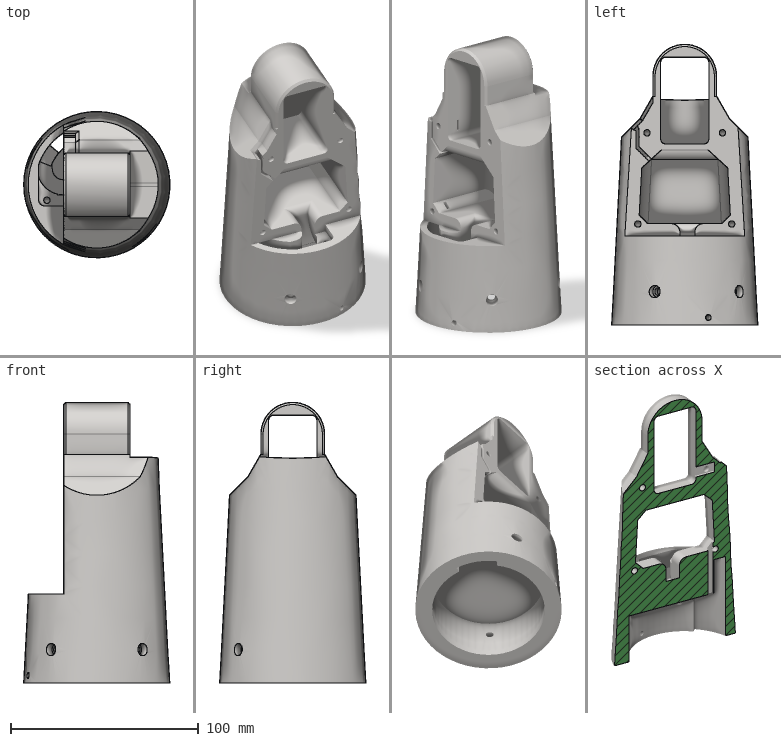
import cadquery as cq
import math

BASE_RADIUS = 39.0
WALL_ANGLE = 3.0
SEAM_ANGLE = 180.0
TOTAL_HEIGHT = 149.55
STEP_HEIGHT = 47.5
FACE_X = -17.75

TONGUE_HALF_WIDTH = 17.0
TONGUE_BACK_X = -FACE_X
TONGUE_CENTER_Z = TOTAL_HEIGHT - TONGUE_HALF_WIDTH
TONGUE_CHAMFER = 1.2
SHOULDER_Y = 23.9
SHOULDER_Z = 109.9
STEEP_ANGLE = 60.0
SHALLOW_ANGLE = 45.0
LEDGE_HEIGHT = 120.4
LEDGE_DIP = 0.55
LEDGE_STRIP_HALF_WIDTH = 0.9

WINDOW_HALF_WIDTH = 12.8
WINDOW_BOTTOM = 96.5
WINDOW_TOP = 142.6
WINDOW_RADIUS = 2.5

CAVITY_BOTTOM = 54.0
CAVITY_TOP = 93.2
CAVITY_BACK_X = 24.0
CAVITY_ROUND = 5.0
CAVITY_HALF_OUTLINE = [
    (19.7, CAVITY_BOTTOM),
    (24.3, 58.6),
    (22.9, 83.7),
    (12.5, CAVITY_TOP),
]

BORE_RADIUS = 30.0
TRAY_RADIUS = 32.8
BORE_TOP = 27.5
CHANNEL_FLOOR = 37.5
CHANNEL_LEFT_Y = 2.6
CHANNEL_RIGHT_Y = -5.4
CHANNEL_BACK_X = -7.9
CHANNEL_ROUND = 4.5
CHANNEL_SWEEP_RADIUS = CAVITY_BOTTOM - CHANNEL_ROUND - CHANNEL_FLOOR
BEND_INNER_RADIUS = 6.0
BEND_CENTER_X = FACE_X
BEND_CENTER_Y = CHANNEL_LEFT_Y + BEND_INNER_RADIUS
BEND_OUTER_RADIUS = BEND_CENTER_Y - CHANNEL_RIGHT_Y
RECESS_FLOOR = 43.0
RECESS_FRONT_X = -31.1
RECESS_RIGHT_Y = -11.4
RECESS_RADIUS = 3.5
SLOT_INNER_RADIUS = 26.4
SLOT_START_ANGLE = 158.0
RAMP_END_ANGLE = 140.0
SLOT_END_ANGLE = 100.0

GROOVE_WIDTH = 1.75
GROOVE_BACK_X = -11.3
GROOVE_FLARE = 1.9
GROOVE_END_Y = 25.1
GROOVE_DROP_Y = 26.1
GROOVE_BEND_Z = 94.3
GROOVE_LENGTH_LOW = 10.5
SLIT_X_RANGE = (-11.2, -9.2)
WINDOW_SLIT_Z_RANGE = (100.2, 106.0)
CAVITY_SLIT_Y_RANGE = (20.5, 23.5)

SCREW_DIAMETER = 3.4
SCREW_DEPTH = 10.0
DRILL_POINT_ANGLE = 118.0
FACE_SCREWS = [(20.1, 102.4), (25.0, 53.8)]
RECESS_SCREW_XY = (-26.6, -8.3)
RECESS_SCREW_DEPTH = 8.0
SIDE_SCREW_ANGLES = [155.0, 230.0, 310.0]
SIDE_SCREW_Z = 17.8
SIDE_SCREW_DIAMETER = 4.2
SIDE_HEAD_DIAMETER = 6.4
SIDE_HEAD_DEPTH = 4.8
PIN_ANGLE = 199.0
PIN_Z = 4.0
PIN_DIAMETER = 3.0

CLEARANCE = 1.0


def steep_y(z):
    """Y of the steep shoulder slope at height z."""
    return SHOULDER_Y - (z - SHOULDER_Z) / math.tan(math.radians(STEEP_ANGLE))


def steep_z(y):
    """Height of the steep shoulder slope at y."""
    return SHOULDER_Z + (SHOULDER_Y - y) * math.tan(math.radians(STEEP_ANGLE))


def box(x_range, y_range, z_range):
    size = [b - a for a, b in (x_range, y_range, z_range)]
    return cq.Workplane("XY").box(*size, centered=False).translate((x_range[0], y_range[0], z_range[0]))


def disc(radius, x, y, z_low, z_high):
    return cq.Workplane("XY", origin=(x, y, z_low)).circle(radius).extrude(z_high - z_low)


def yz_prism(points, x_start, x_end):
    return cq.Workplane("YZ", origin=(x_start, 0, 0)).polyline(points).close().extrude(x_end - x_start)


def mirrored(half_points):
    """Close a one-sided (y, z) outline, listed bottom to top, about y = 0."""
    return half_points + [(-y, z) for y, z in reversed(half_points)]


def make_shell():
    """Cone trimmed to the step, the sloping shoulders and the rear ledge."""
    top_radius = BASE_RADIUS - TOTAL_HEIGHT * math.tan(math.radians(WALL_ANGLE))
    cone = cq.Workplane(cq.Solid.makeCone(BASE_RADIUS, top_radius, TOTAL_HEIGHT))
    cone = cone.rotate((0, 0, 0), (0, 0, 1), SEAM_ANGLE)
    base = cone.intersect(disc(BASE_RADIUS, 0, 0, 0, STEP_HEIGHT))

    ledge_low = LEDGE_HEIGHT - LEDGE_DIP
    upper_outline = mirrored([
        (BASE_RADIUS, STEP_HEIGHT - CLEARANCE),
        (BASE_RADIUS, SHOULDER_Z - (BASE_RADIUS - SHOULDER_Y) * math.tan(math.radians(SHALLOW_ANGLE))),
        (SHOULDER_Y, SHOULDER_Z),
        (steep_y(LEDGE_HEIGHT), LEDGE_HEIGHT),
        (LEDGE_STRIP_HALF_WIDTH, ledge_low),
    ])
    upper = cone.intersect(yz_prism(upper_outline, FACE_X, BASE_RADIUS))
    return base.union(upper)


def make_tongue():
    """Round-topped tongue with bevelled ends, standing on its sloping foot."""
    length = TONGUE_BACK_X - FACE_X
    foot_z = steep_z(TONGUE_HALF_WIDTH)
    tongue = (
        cq.Workplane("YZ", origin=(FACE_X, 0, 0))
        .moveTo(-TONGUE_HALF_WIDTH, foot_z)
        .lineTo(-TONGUE_HALF_WIDTH, TONGUE_CENTER_Z)
        .threePointArc((0, TOTAL_HEIGHT), (TONGUE_HALF_WIDTH, TONGUE_CENTER_Z))
        .lineTo(TONGUE_HALF_WIDTH, foot_z)
        .close()
        .extrude(length)
    )
    for end in ("<X", ">X"):
        tongue = tongue.faces(end).edges("not(<Z)").chamfer(TONGUE_CHAMFER)
    foot_outline = mirrored([
        (SHOULDER_Y, SHOULDER_Z),
        (TONGUE_HALF_WIDTH, foot_z),
    ])
    return tongue.union(yz_prism(foot_outline, FACE_X, TONGUE_BACK_X))


def window_cut():
    height = WINDOW_TOP - WINDOW_BOTTOM
    return (
        cq.Workplane("YZ", origin=(FACE_X, 0, (WINDOW_TOP + WINDOW_BOTTOM) / 2))
        .sketch()
        .rect(2 * WINDOW_HALF_WIDTH, height)
        .vertices()
        .fillet(WINDOW_RADIUS)
        .finalize()
        .extrude(TONGUE_BACK_X - FACE_X)
    )


def cavity_cut():
    """Cavity with a rounded front lip to its roof and rounded rear side corners."""
    _, (low_y, low_z), (high_y, high_z), _ = CAVITY_HALF_OUTLINE
    side_lean = (low_y - high_y) / (high_z - low_z)
    roof_z = CAVITY_TOP - CAVITY_ROUND
    bottom_y = low_y + side_lean * (low_z - CAVITY_BOTTOM)
    roof_y = high_y - side_lean * (roof_z - high_z)
    room = yz_prism(mirrored([(bottom_y, CAVITY_BOTTOM), (roof_y, roof_z)]), FACE_X, CAVITY_BACK_X)
    room = room.faces(">X").edges("not |Y").fillet(CAVITY_ROUND)

    lip = box((FACE_X, FACE_X + CAVITY_ROUND), (-bottom_y, bottom_y), (roof_z, CAVITY_TOP))
    lip_round = (
        cq.Workplane("XZ", origin=(FACE_X + CAVITY_ROUND, bottom_y, CAVITY_TOP))
        .circle(CAVITY_ROUND)
        .extrude(2 * bottom_y)
    )
    outline = yz_prism(mirrored(CAVITY_HALF_OUTLINE), FACE_X, CAVITY_BACK_X)
    return room.union(lip.cut(lip_round)).intersect(outline)


def channel_mouth_cut():
    """Opening from the cavity floor to the wire channel, with rounded lips and a swept floor."""
    x_range = (CHANNEL_BACK_X - CHANNEL_SWEEP_RADIUS - CLEARANCE, CHANNEL_BACK_X)
    y_range = (CHANNEL_RIGHT_Y, CHANNEL_LEFT_Y)
    shaft = box(x_range, y_range, (CHANNEL_FLOOR, CAVITY_BOTTOM))
    shaft = shaft.edges(">X and <Z").fillet(CHANNEL_SWEEP_RADIUS)

    lip_bottom = CAVITY_BOTTOM - CHANNEL_ROUND
    outer_left = CHANNEL_LEFT_Y + CHANNEL_ROUND
    outer_right = CHANNEL_RIGHT_Y - CHANNEL_ROUND
    outer_back = CHANNEL_BACK_X + CHANNEL_ROUND
    lip = box(
        (FACE_X - CLEARANCE, outer_back),
        (outer_right, outer_left),
        (lip_bottom, CAVITY_BOTTOM),
    )
    for y in (outer_left, outer_right):
        side_round = (
            cq.Workplane("YZ", origin=(FACE_X - CLEARANCE, y, lip_bottom))
            .circle(CHANNEL_ROUND)
            .extrude(outer_back - FACE_X + CLEARANCE)
        )
        lip = lip.cut(side_round)
    back_round = (
        cq.Workplane("XZ", origin=(outer_back, outer_left, lip_bottom))
        .circle(CHANNEL_ROUND)
        .extrude(outer_left - outer_right)
    )
    return shaft.union(lip.cut(back_round))


def sector(start_angle, end_angle, z_low, z_high):
    """Ring segment between the slot radius and the tray radius."""
    reach = 2 * BASE_RADIUS
    start = math.radians(start_angle)
    end = math.radians(end_angle)
    wedge = (
        cq.Workplane("XY", origin=(0, 0, z_low))
        .polyline([
            (0, 0),
            (reach * math.cos(start), reach * math.sin(start)),
            (reach * math.cos(end), reach * math.sin(end)),
        ])
        .close()
        .extrude(z_high - z_low)
    )
    ring = disc(TRAY_RADIUS, 0, 0, z_low, z_high).cut(disc(SLOT_INNER_RADIUS, 0, 0, z_low, z_high))
    return ring.intersect(wedge)


def ramp_cut():
    """Descent from the channel floor along the wall to the through slot."""
    middle = (SLOT_START_ANGLE + RAMP_END_ANGLE) / 2
    half_span = math.radians(SLOT_START_ANGLE - RAMP_END_ANGLE) / 2
    half_length = TRAY_RADIUS * math.sin(half_span)
    wedge = (
        cq.Workplane("YZ")
        .polyline([
            (half_length, CHANNEL_FLOOR),
            (-half_length, CHANNEL_FLOOR),
            (-half_length, BORE_TOP),
        ])
        .close()
        .extrude(BASE_RADIUS)
        .rotate((0, 0, 0), (0, 0, 1), middle)
    )
    return sector(SLOT_START_ANGLE, RAMP_END_ANGLE, BORE_TOP, CHANNEL_FLOOR).intersect(wedge)


def tray_cut():
    """Stepped recess in the base top: shelf, curved wire channel and wall slot."""
    top = STEP_HEIGHT
    recess = box((RECESS_FRONT_X, FACE_X), (RECESS_RIGHT_Y, BEND_CENTER_Y), (RECESS_FLOOR, top))
    recess = recess.edges("|Z and <X and <Y").fillet(RECESS_RADIUS)

    front = box((RECESS_FRONT_X, FACE_X), (CHANNEL_RIGHT_Y, TRAY_RADIUS), (CHANNEL_FLOOR, top))
    bend = disc(BEND_OUTER_RADIUS, BEND_CENTER_X, BEND_CENTER_Y, CHANNEL_FLOOR, top)
    run = box(
        (RECESS_FRONT_X, FACE_X),
        (BEND_CENTER_Y, TRAY_RADIUS),
        (CHANNEL_FLOOR, top),
    )
    channel = bend.union(run).intersect(front)
    channel = channel.intersect(disc(TRAY_RADIUS, 0, 0, CHANNEL_FLOOR, top))

    pillar_side_x = BEND_CENTER_X - BEND_INNER_RADIUS
    pillar = box((pillar_side_x, FACE_X), (CHANNEL_LEFT_Y, TRAY_RADIUS), (CHANNEL_FLOOR, top))
    pillar = pillar.edges("|Z and <X and <Y").fillet(BEND_INNER_RADIUS - 0.01)
    pillar = pillar.intersect(disc(SLOT_INNER_RADIUS, 0, 0, CHANNEL_FLOOR, top))

    slot = sector(RAMP_END_ANGLE, SLOT_END_ANGLE, 0, top)
    return recess.cut(pillar).union(channel.cut(pillar)).union(slot).union(ramp_cut())


def shoulder_groove_cut(upper_y, lower_y, angle):
    """Shallow groove sunk into one sloping shoulder, with a flared back end.

    The profile's second coordinate is the depth below the slope.
    """
    slope = math.radians(angle)
    length = (lower_y - upper_y) / math.cos(slope)
    upper_z = SHOULDER_Z + (SHOULDER_Y - upper_y) * math.tan(slope)
    flare_slope = GROOVE_FLARE / GROOVE_WIDTH
    profile_plane = cq.Plane(
        origin=(0, upper_y, upper_z),
        xDir=(1, 0, 0),
        normal=(0, math.cos(slope), -math.sin(slope)),
    )
    return (
        cq.Workplane(profile_plane)
        .polyline([
            (FACE_X, GROOVE_WIDTH),
            (GROOVE_BACK_X, GROOVE_WIDTH),
            (GROOVE_BACK_X + GROOVE_FLARE + flare_slope * CLEARANCE, -CLEARANCE),
            (FACE_X, -CLEARANCE),
        ])
        .close()
        .extrude(length)
    )


def wire_groove_cut():
    """Groove from beside the tongue, over the shoulder and down into the cavity."""
    mitre = GROOVE_WIDTH * math.tan(math.radians(STEEP_ANGLE - SHALLOW_ANGLE) / 2)
    steep_end = SHOULDER_Y + mitre * math.cos(math.radians(STEEP_ANGLE))
    shallow_start = SHOULDER_Y - mitre * math.cos(math.radians(SHALLOW_ANGLE))
    steep = shoulder_groove_cut(TONGUE_HALF_WIDTH - GROOVE_WIDTH, steep_end, STEEP_ANGLE)
    steep = steep.intersect(box(
        (FACE_X, TONGUE_BACK_X),
        (TONGUE_HALF_WIDTH, BASE_RADIUS),
        (0, TOTAL_HEIGHT),
    ))
    mouth_y = GROOVE_END_Y + 2 * GROOVE_WIDTH
    lip_y = GROOVE_END_Y + GROOVE_WIDTH * math.cos(math.radians(SHALLOW_ANGLE))
    shallow = shoulder_groove_cut(shallow_start, mouth_y, SHALLOW_ANGLE)

    inner_y = GROOVE_DROP_Y - GROOVE_WIDTH
    bend_shift = GROOVE_WIDTH * math.tan(math.radians(SHALLOW_ANGLE) / 2)
    surface_z = SHOULDER_Z + SHOULDER_Y
    low_run = GROOVE_LENGTH_LOW * math.sin(math.radians(SHALLOW_ANGLE))
    drop = yz_prism(
        [
            (mouth_y, surface_z - mouth_y),
            (GROOVE_DROP_Y, surface_z - mouth_y - GROOVE_WIDTH),
            (GROOVE_DROP_Y, GROOVE_BEND_Z),
            (GROOVE_DROP_Y - low_run, GROOVE_BEND_Z - low_run),
            (inner_y - low_run, GROOVE_BEND_Z + bend_shift - low_run),
            (inner_y, GROOVE_BEND_Z + bend_shift),
            (inner_y, surface_z - mouth_y - GROOVE_WIDTH),
            (GROOVE_END_Y, surface_z - mouth_y + CLEARANCE),
            (lip_y, surface_z - lip_y),
        ],
        FACE_X,
        GROOVE_BACK_X,
    )
    return steep.union(shallow).union(drop)


def slit_cut():
    """Narrow wire slits, in the window side towards the groove and from the cavity to the wall slot."""
    y_range = (WINDOW_HALF_WIDTH - CLEARANCE, GROOVE_DROP_Y - GROOVE_WIDTH)
    window_slit = box(SLIT_X_RANGE, y_range, WINDOW_SLIT_Z_RANGE)
    slit_top = CAVITY_BOTTOM + 2 * CHANNEL_ROUND
    cavity_slit = box(SLIT_X_RANGE, CAVITY_SLIT_Y_RANGE, (BORE_TOP - CLEARANCE, slit_top))
    return window_slit.union(cavity_slit)


def blind_screw_hole(start, direction, depth):
    """Drilled screw hole with a conical bottom."""
    radius = SCREW_DIAMETER / 2
    tip_length = radius / math.tan(math.radians(DRILL_POINT_ANGLE) / 2)
    profile = [(0, 0), (radius, 0), (radius, depth), (0, depth + tip_length)]
    hole = cq.Workplane("XY").polyline(profile).close().revolve(360, (0, 0), (0, 1))
    plane = cq.Plane(origin=start, xDir=(0, 1, 0), normal=direction)
    upright = hole.rotate((0, 0, 0), (1, 0, 0), 90)
    return cq.Workplane(upright.val().moved(cq.Location(plane)))


def cut_blind_screws(body):
    for y, z in FACE_SCREWS:
        for side in (1, -1):
            body = body.cut(blind_screw_hole((FACE_X, side * y, z), (1, 0, 0), SCREW_DEPTH))
    recess_start = (*RECESS_SCREW_XY, RECESS_FLOOR)
    return body.cut(blind_screw_hole(recess_start, (0, 0, -1), RECESS_SCREW_DEPTH))


def radial_hole(diameter, angle, z, start_radius):
    """Horizontal hole running outward from start_radius."""
    return (
        cq.Workplane("YZ", origin=(start_radius, 0, z))
        .circle(diameter / 2)
        .extrude(BASE_RADIUS + CLEARANCE - start_radius)
        .rotate((0, 0, 0), (0, 0, 1), angle)
    )


def cut_side_holes(body):
    head_seat = BASE_RADIUS - SIDE_SCREW_Z * math.tan(math.radians(WALL_ANGLE)) - SIDE_HEAD_DEPTH
    inside = BORE_RADIUS - CLEARANCE
    for angle in SIDE_SCREW_ANGLES:
        body = body.cut(radial_hole(SIDE_SCREW_DIAMETER, angle, SIDE_SCREW_Z, inside))
        body = body.cut(radial_hole(SIDE_HEAD_DIAMETER, angle, SIDE_SCREW_Z, head_seat))
    return body.cut(radial_hole(PIN_DIAMETER, PIN_ANGLE, PIN_Z, inside))


def make_part():
    body = make_shell().union(make_tongue())
    body = body.cut(disc(BORE_RADIUS, 0, 0, 0, BORE_TOP))
    cutters = (
        window_cut(),
        cavity_cut(),
        channel_mouth_cut(),
        tray_cut(),
        wire_groove_cut(),
        slit_cut(),
    )
    for cutter in cutters:
        body = body.cut(cutter)
    return cut_side_holes(cut_blind_screws(body))


result = make_part()